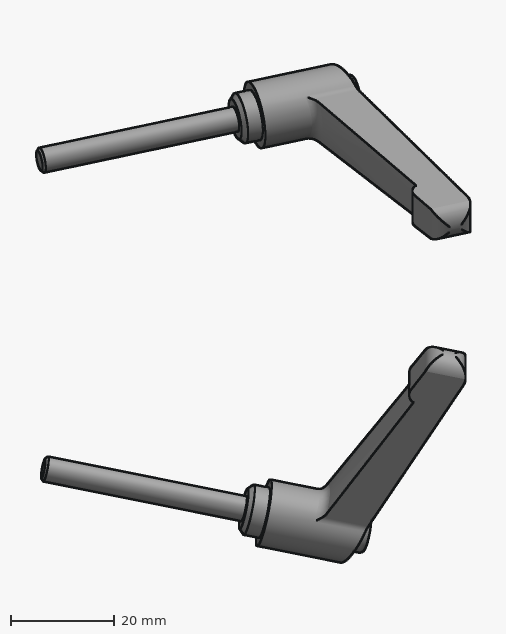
import cadquery as cq
import math


stud_diameter = 5.0
stud_length = 40.0
stud_chamfer = 0.5
collar_diameter = 10.0
collar_length = 4.0
collar_chamfer = 1.0
hub_diameter = 13.2
button_diameter = 8.0
button_top = 24.7
button_fillet = 1.0

top_angle = math.radians(16)
top_at_axis = 22.2

tip_x = 45.0
underside_angle = math.radians(19.7)
underside_at_axis = 12.96
lip_start_x = 34.7
lip_end_x = 37.5
lip_end_y = 24.25
tip_top_radius = 3.3
tip_bottom_radius = 3.6
root_fillet = 1.9

taper_angle = math.radians(2)
tip_round_start_x = 42.2
tip_half_thickness = 3.7

keel_depth = 0.5
keel_end_depth = 0.02
keel_start_x = 2.0
keel_overlap = 1.0

joint_margin_x = 0.1
joint_margin_y = 0.5


def top_y(x):
    """Height of the sloping top plane at x."""
    return top_at_axis + x * math.tan(top_angle)


def underside_y(x):
    """Height of the arm's lower side edges at x."""
    return underside_at_axis + x * math.tan(underside_angle)


def half_thickness(x):
    """Half of the arm's thickness in Z at x, before the tip is rounded."""
    return tip_half_thickness + (tip_round_start_x - x) * math.tan(taper_angle)


def cylinder(diameter, y_start, y_end):
    """Cylinder on the Y axis from y_start up to y_end."""
    start_plane = cq.Workplane("XZ", origin=(0, y_start, 0))
    return start_plane.circle(diameter / 2).extrude(y_start - y_end)


def make_hub():
    """Round hub, cut off by the sloping top plane."""
    radius = hub_diameter / 2
    side_outline = [
        (-radius, collar_length),
        (radius, collar_length),
        (radius, top_y(radius)),
        (-radius, top_y(-radius)),
    ]
    side_block = cq.Workplane("XY").polyline(side_outline).close().extrude(radius, both=True)
    barrel = cylinder(hub_diameter, collar_length, top_y(radius)).rotate((0, 0, 0), (0, 1, 0), 180)
    return barrel.intersect(side_block)


def lip_arc_points():
    """Middle and end of the lip's round, which runs from the underside into the lip face."""
    start_y = underside_y(lip_start_x)
    normal_x = -math.sin(underside_angle)
    normal_y = math.cos(underside_angle)
    chord_x = lip_end_x - lip_start_x
    chord_y = lip_end_y - start_y
    chord_along_normal = chord_x * normal_x + chord_y * normal_y
    radius = -(chord_x**2 + chord_y**2) / (2 * chord_along_normal)
    center_x = lip_end_x + radius * normal_x
    center_y = lip_end_y + radius * normal_y
    start_angle = math.atan2(start_y - center_y, lip_start_x - center_x)
    end_angle = math.atan2(-normal_y, -normal_x)
    middle_angle = (start_angle + end_angle) / 2
    middle = (center_x + radius * math.cos(middle_angle), center_y + radius * math.sin(middle_angle))
    return middle, (lip_end_x, lip_end_y)


def arm_profile():
    """Side outline of the arm with its lip, extruded past the full thickness."""
    lip_middle, lip_end = lip_arc_points()
    tip_bottom_y = lip_end_y + (tip_x - lip_end_x) * math.tan(underside_angle)
    profile = (
        cq.Workplane("XY")
        .moveTo(0, underside_y(0))
        .lineTo(lip_start_x, underside_y(lip_start_x))
        .threePointArc(lip_middle, lip_end)
        .lineTo(tip_x, tip_bottom_y)
        .lineTo(tip_x, top_y(tip_x))
        .lineTo(0, top_y(0))
        .close()
        .extrude(hub_diameter / 2, both=True)
    )
    profile = profile.faces(">X").edges("|Z").edges(">Y").fillet(tip_top_radius)
    return profile.faces(">X").edges("|Z").edges("<Y").fillet(tip_bottom_radius)


def arm_plan():
    """Plan of the arm in XZ: tapered sides and a rounded tip."""
    root_half = half_thickness(0)
    return (
        cq.Workplane("XZ")
        .moveTo(0, -root_half)
        .lineTo(tip_round_start_x, -tip_half_thickness)
        .threePointArc((tip_x, 0), (tip_round_start_x, tip_half_thickness))
        .lineTo(0, root_half)
        .close()
        .extrude(-2 * top_y(tip_x))
    )


def keel_section(x, depth):
    """Cross-section of the keel at x: bowed below, and reaching up into the arm."""
    half = half_thickness(x)
    edge_y = underside_y(x)
    section_plane = cq.Plane(origin=(x, edge_y, 0), xDir=(0, 0, -1), normal=(1, 0, 0))
    return (
        cq.Workplane(section_plane)
        .moveTo(-half, keel_overlap)
        .lineTo(-half, 0)
        .threePointArc((0, -depth), (half, 0))
        .lineTo(half, keel_overlap)
        .close()
        .val()
    )


def make_keel():
    """Shallow bow under the arm that fades out towards the lip."""
    sections = [keel_section(keel_start_x, keel_depth), keel_section(lip_start_x, keel_end_depth)]
    return cq.Workplane(cq.Solid.makeLoft(sections, True))


def make_lever():
    """Hub and arm, blended where the arm grows out of the hub."""
    arm = arm_profile().intersect(arm_plan()).union(make_keel())
    lever = make_hub().union(arm)
    radius = hub_diameter / 2
    joint_box = cq.selectors.BoxSelector(
        (radius / 2, collar_length + joint_margin_y, -radius),
        (radius + joint_margin_x, top_y(radius) - joint_margin_y, radius),
    )
    return lever.edges(joint_box).fillet(root_fillet)


def make_stud():
    """Stud with a chamfered end, running up inside the collar."""
    return cylinder(stud_diameter, -stud_length, collar_length).faces("<Y").chamfer(stud_chamfer)


def make_collar():
    """Collar below the hub, chamfered at the shoulder."""
    return cylinder(collar_diameter, 0, collar_length).faces("<Y").chamfer(collar_chamfer)


def make_button():
    """Push-button standing out of the sloping top."""
    return cylinder(button_diameter, collar_length, button_top).faces(">Y").edges().fillet(button_fillet)


result = make_lever().union(make_collar()).union(make_stud()).union(make_button())